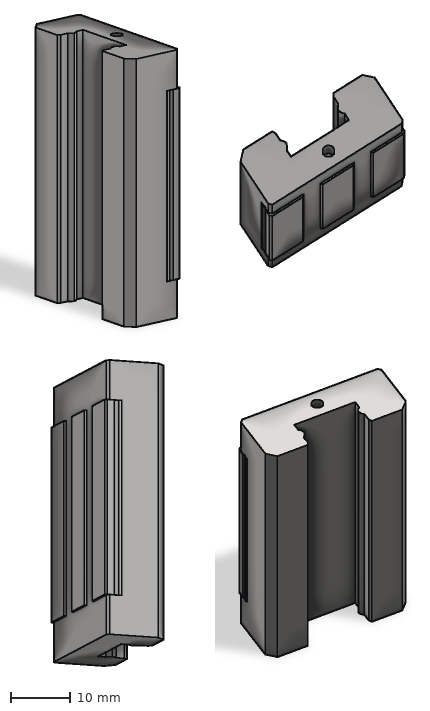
import cadquery as cq
import math

width = 27.0
depth = 11.0
length = 47.0
back_y = depth / 2
front_y = -depth / 2

pad_height = 0.35
pad_side_rise = 0.08
pad_length = 33.4
pad_width = 6.8
pad_chamfer = 0.35
pad_side_depth = 3.0
middle_pad_depth = 1.0

side_groove_y = back_y - 2.0
side_groove_half_width = 0.4
side_groove_depth = 0.2

body_side_x = width / 2 - pad_side_rise
body_back_y = back_y - pad_height
back_chamfer = 0.5
front_chamfer_x = 1.5
front_chamfer_y = 1.5

channel_half_width = 5.8
channel_floor_y = back_y - 5.65
mouth_chamfer_x = 0.3
mouth_chamfer_y = 0.6

ridge_y = back_y - 8.0
ridge_half_base = 0.97
flank_rise = 0.3
shoulder_half_width = 0.67
ridge_rise = 0.6
crest_bulge = 0.04
crest_angle = math.atan2(ridge_rise - flank_rise, shoulder_half_width)
crest_mid_rise = (flank_rise + ridge_rise) / 2 + crest_bulge * math.cos(crest_angle)
crest_mid_half_width = shoulder_half_width / 2 + crest_bulge * math.sin(crest_angle)

hole_diameter = 2.0
hole_depth = 6.0
hole_y = back_y - 3.0


def profile_plane(extrusion_length):
    """XY plane placed so that the extrusion is centred on Z = 0."""
    return cq.Workplane("XY").workplane(offset=-extrusion_length / 2)


def half_body():
    """The +X half of the body, along its full length."""
    return (
        profile_plane(length)
        .moveTo(0, body_back_y)
        .lineTo(body_side_x - back_chamfer, body_back_y)
        .lineTo(body_side_x, body_back_y - back_chamfer)
        .lineTo(body_side_x, front_y + front_chamfer_y)
        .lineTo(body_side_x - front_chamfer_x, front_y)
        .lineTo(channel_half_width + mouth_chamfer_x, front_y)
        .lineTo(channel_half_width, front_y + mouth_chamfer_y)
        .lineTo(channel_half_width, ridge_y - ridge_half_base)
        .lineTo(channel_half_width - flank_rise, ridge_y - shoulder_half_width)
        .threePointArc(
            (channel_half_width - crest_mid_rise, ridge_y - crest_mid_half_width),
            (channel_half_width - ridge_rise, ridge_y),
        )
        .threePointArc(
            (channel_half_width - crest_mid_rise, ridge_y + crest_mid_half_width),
            (channel_half_width - flank_rise, ridge_y + shoulder_half_width),
        )
        .lineTo(channel_half_width, ridge_y + ridge_half_base)
        .lineTo(channel_half_width, channel_floor_y)
        .lineTo(0, channel_floor_y)
        .close()
        .extrude(length)
    )


def outer_pad():
    """The +X pad, wrapped over the back corner onto the side of the body."""
    side_x = width / 2
    inner_x = side_x - pad_width
    side_end_y = back_y - pad_side_depth
    return (
        profile_plane(pad_length)
        .moveTo(inner_x, body_back_y)
        .lineTo(inner_x + pad_chamfer, back_y)
        .lineTo(side_x - pad_chamfer, back_y)
        .lineTo(side_x, back_y - pad_chamfer)
        .lineTo(side_x, side_end_y + pad_side_rise)
        .lineTo(body_side_x, side_end_y)
        .lineTo(inner_x, side_end_y)
        .close()
        .extrude(pad_length)
    )


def side_groove():
    """Cutter for the groove in the +X side, closed along the side face."""
    side_x = width / 2
    return (
        profile_plane(pad_length)
        .moveTo(side_x, side_groove_y - side_groove_half_width)
        .threePointArc(
            (side_x - side_groove_depth, side_groove_y),
            (side_x, side_groove_y + side_groove_half_width),
        )
        .close()
        .extrude(pad_length)
    )


def middle_pad():
    return (
        cq.Workplane("XY")
        .box(pad_width, middle_pad_depth, pad_length)
        .edges("|Z and >Y")
        .chamfer(pad_chamfer)
        .translate((0, back_y - middle_pad_depth / 2, 0))
    )


def end_hole():
    return (
        cq.Workplane("XY")
        .workplane(offset=length / 2 - hole_depth)
        .center(0, hole_y)
        .circle(hole_diameter / 2)
        .extrude(hole_depth)
    )


half = half_body().union(outer_pad()).cut(side_groove())
block = half.union(half.mirror("YZ")).union(middle_pad())
result = block.cut(end_hole()).clean()